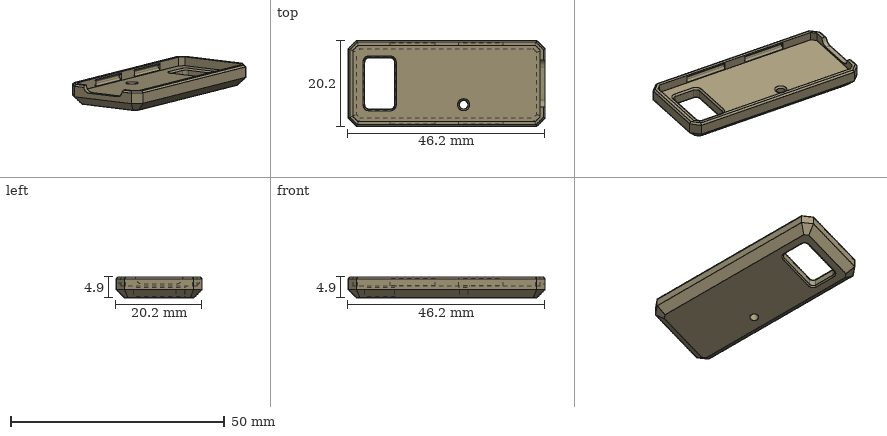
import cadquery as cq

length = 46.2
width = 20.2
height = 4.9
corner_cut = 2.0
bottom_chamfer = 2.0
top_chamfer = 0.4

wall = 1.2
cavity_depth = 2.1
cavity_corner_cut = 1.05
floor_z = height - cavity_depth

window_x = -15.7
window_length = 6.98
window_width = 12.0
window_radius = 1.0
opening_chamfer = 0.4
window_bottom_chamfer = 0.32

hole_x = 3.97
hole_y = -5.0
hole_diameter = 2.0

notch_width = 11.1
notch_depth = 1.65

groove_length = 10.5
groove_spacing = 16.0
groove_height = 1.55
groove_root_radius = 0.4
groove_bottom_z = floor_z + 0.15


def cut_corner_block(size_x, size_y, size_z, corner, base_z):
    """Block standing on base_z with its vertical edges chamfered."""
    block = cq.Workplane("XY", origin=(0, 0, base_z)).rect(size_x, size_y).extrude(size_z)
    return block.edges("|Z").chamfer(corner)


def make_shell():
    """Chamfered outer body with an open rectangular cavity."""
    body = cut_corner_block(length, width, height, corner_cut, 0)
    body = body.faces("<Z").chamfer(bottom_chamfer)
    body = body.faces(">Z").chamfer(top_chamfer)
    cavity = cut_corner_block(
        length - 2 * wall, width - 2 * wall, cavity_depth, cavity_corner_cut, floor_z
    )
    return body.cut(cavity)


def flare(cutter, face, size):
    """Widen the cutter by a 45 degree flare that ends at the selected face."""
    cone = (
        cutter.faces(face).wires().toPending()
        .workplane()
        .offset2D(size)
        .extrude(-size, taper=45, combine=False)
    )
    return cutter.union(cone)


def make_window():
    """Rounded rectangular opening, chamfered on both sides of the floor."""
    window = cq.Workplane("XY").rect(window_length, window_width).extrude(floor_z)
    window = window.edges("|Z").fillet(window_radius)
    window = flare(window, ">Z", opening_chamfer)
    window = flare(window, "<Z", window_bottom_chamfer)
    return window.translate((window_x, 0, 0))


def make_hole():
    """Round opening, chamfered at the cavity floor."""
    hole = cq.Workplane("XY").circle(hole_diameter / 2).extrude(floor_z)
    return flare(hole, ">Z", opening_chamfer).translate((hole_x, hole_y, 0))


def make_notch():
    """Notch through the +X wall whose ends curve up from a flat bottom."""
    notch_length = 2 * wall
    notch = cq.Workplane("XY").box(notch_length, notch_width, 2 * notch_depth)
    notch = notch.edges("|X and <Z").fillet(notch_depth)
    return notch.translate((length / 2, 0, height))


def make_groove(center_x, side):
    """V groove with 45 degree flanks, cut into the long wall on the given Y side."""
    wall_y = side * (width / 2 - wall)
    half_height = groove_height / 2
    groove = (
        cq.Workplane("YZ", origin=(center_x - groove_length / 2, 0, 0))
        .moveTo(wall_y, groove_bottom_z)
        .lineTo(wall_y + side * half_height, groove_bottom_z + half_height)
        .lineTo(wall_y, groove_bottom_z + groove_height)
        .close()
        .extrude(groove_length)
    )
    root_edge = ">Y" if side > 0 else "<Y"
    return groove.edges(root_edge).fillet(groove_root_radius)


result = make_shell().cut(make_window()).cut(make_hole()).cut(make_notch())
for groove_x in (-groove_spacing / 2, groove_spacing / 2):
    for wall_side in (-1, 1):
        result = result.cut(make_groove(groove_x, wall_side))